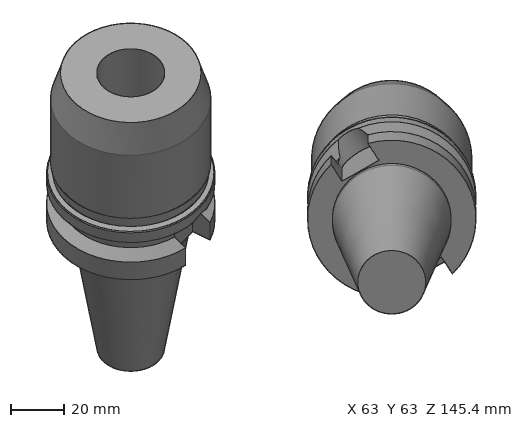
import cadquery as cq
import math

gauge_diameter = 44.45
shank_length = 65.4
taper_ratio = 7 / 24
shank_end_diameter = gauge_diameter - shank_length * taper_ratio

flange_diameter = 63.0
flange_bottom = 2.0
flange_top = 27.2
flange_edge_chamfer = 0.4
groove_floor_diameter = 53.2
groove_centre = 16.5
groove_floor_width = 4.8
groove_flank_angle = 30.0
groove_depth = (flange_diameter - groove_floor_diameter) / 2
groove_flank_height = groove_depth * math.tan(math.radians(groove_flank_angle))

neck_diameter = 58.5
neck_edge_chamfer = 0.75

body_diameter = 60.0
body_bottom = 33.0
body_edge_chamfer = (body_diameter - neck_diameter) / 2
projection = 80.0
nose_height = 13.6
nose_diameter = 52.5

bore_diameter = 25.4
bore_depth = 50.0

slot_width = 16.1
slot_floor_offset = 22.6
slot_top = 23.0


def make_revolved_blank():
    """Revolve the half-section of the whole holder about Z."""
    flange_radius = flange_diameter / 2
    groove_floor_radius = groove_floor_diameter / 2
    neck_radius = neck_diameter / 2
    body_radius = body_diameter / 2
    nose_radius = nose_diameter / 2
    gauge_radius = gauge_diameter / 2
    floor_low = groove_centre - groove_floor_width / 2
    floor_high = groove_centre + groove_floor_width / 2
    nose_start = projection - nose_height

    profile = (
        cq.Workplane("XZ")
        .moveTo(0, -shank_length)
        .lineTo(shank_end_diameter / 2, -shank_length)
        .lineTo(gauge_radius, 0)
        .lineTo(gauge_radius, flange_bottom)
        .lineTo(flange_radius, flange_bottom)
        .lineTo(flange_radius, floor_low - groove_flank_height)
        .lineTo(groove_floor_radius, floor_low)
        .lineTo(groove_floor_radius, floor_high)
        .lineTo(flange_radius, floor_high + groove_flank_height)
        .lineTo(flange_radius, flange_top - flange_edge_chamfer)
        .lineTo(flange_radius - flange_edge_chamfer, flange_top)
        .lineTo(neck_radius - neck_edge_chamfer, flange_top)
        .lineTo(neck_radius, flange_top + neck_edge_chamfer)
        .lineTo(neck_radius, body_bottom - body_edge_chamfer)
        .lineTo(body_radius, body_bottom)
        .lineTo(body_radius, nose_start)
        .lineTo(nose_radius, projection)
        .lineTo(0, projection)
        .close()
    )
    return profile.revolve(360, (0, 0), (0, 1))


def make_bore():
    """Cylinder that removes the tool bore from the front face."""
    return (
        cq.Workplane("XY", origin=(0, 0, projection - bore_depth))
        .circle(bore_diameter / 2)
        .extrude(bore_depth)
    )


def make_drive_slot(side):
    """Round-topped cutter for the drive slot on the -X (-1) or +X (+1) side."""
    half_width = slot_width / 2
    arc_start = slot_top - half_width
    return (
        cq.Workplane("YZ", origin=(side * slot_floor_offset, 0, 0))
        .moveTo(-half_width, flange_bottom)
        .lineTo(half_width, flange_bottom)
        .lineTo(half_width, arc_start)
        .threePointArc((0, slot_top), (-half_width, arc_start))
        .close()
        .extrude(side * flange_diameter / 2)
    )


result = make_revolved_blank().cut(make_bore())
for side in (-1, 1):
    result = result.cut(make_drive_slot(side))